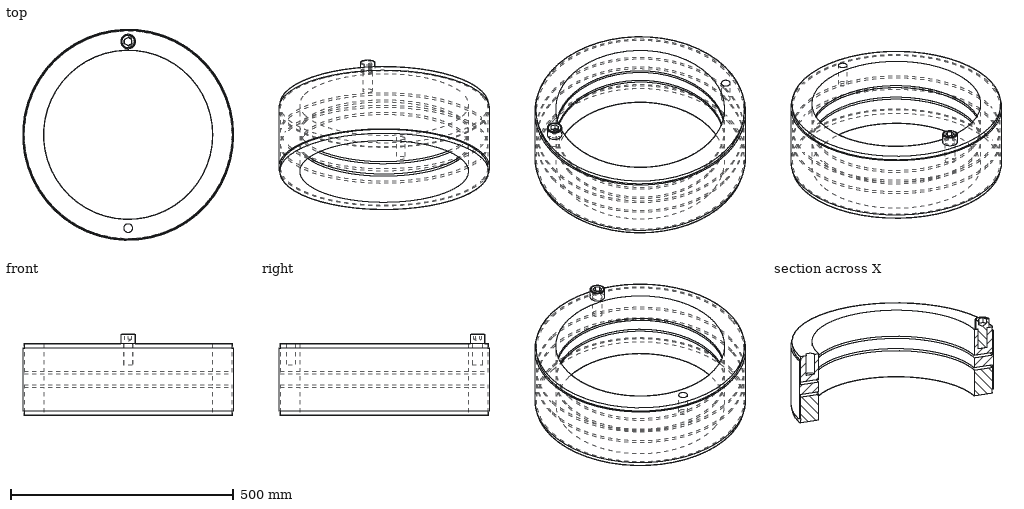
import cadquery as cq
import math

OUTER_DIAMETER = 475.0
RIM_DIAMETER = 470.2
RING_DIAMETER = 467.5
BORE_DIAMETER = 380.0
TOTAL_HEIGHT = 161.5
RIM_HEIGHT = 10.0
RING_HEIGHT = 63.0
GAP_HEIGHT = 5.0

BOLT_CIRCLE_RADIUS = 210.0
SHANK_DIAMETER = 22.0
SHANK_LENGTH = 47.5
HEAD_DIAMETER = 33.0
HEAD_HEIGHT = 21.5
HEAD_CHAMFER_HEIGHT = 1.0
HEAD_CHAMFER_WIDTH = 2.5
SOCKET_WIDTH = 16.0
SOCKET_DEPTH = 11.0
SOCKET_CONE_DEPTH = 5.0
PLAIN_HOLE_DIAMETER = 19.5
PLAIN_HOLE_DEPTH = 47.5

RIB_HEIGHT = TOTAL_HEIGHT - 2 * (RING_HEIGHT + GAP_HEIGHT)
HEAD_TOP = TOTAL_HEIGHT + HEAD_HEIGHT


def tube(outside, inside, bottom, height):
    """Plain vertical tube centred on the Z axis."""
    return (
        cq.Workplane("XY", origin=(0, 0, bottom))
        .circle(outside / 2)
        .circle(inside / 2)
        .extrude(height)
    )


def cylinder_down(diameter, depth, y):
    """Cylinder going down from the top face of the upper ring."""
    return (
        cq.Workplane("XY", origin=(0, y, TOTAL_HEIGHT))
        .circle(diameter / 2)
        .extrude(-depth)
    )


def make_sleeve():
    """Thin sleeve around the end rings, with a rib between them."""
    shell_height = TOTAL_HEIGHT - 2 * RIM_HEIGHT
    shell = tube(OUTER_DIAMETER, RING_DIAMETER, RIM_HEIGHT, shell_height)
    rib_bottom = RING_HEIGHT + GAP_HEIGHT
    rib = tube(OUTER_DIAMETER, BORE_DIAMETER, rib_bottom, RIB_HEIGHT)
    return shell.union(rib)


def make_lower_ring():
    """End ring whose exposed rim flares from the sleeve out to the end face."""
    bore_radius = BORE_DIAMETER / 2
    ring_radius = RING_DIAMETER / 2
    return (
        cq.Workplane("XZ")
        .moveTo(bore_radius, 0)
        .lineTo(RIM_DIAMETER / 2, 0)
        .lineTo(ring_radius, RIM_HEIGHT)
        .lineTo(ring_radius, RING_HEIGHT)
        .lineTo(bore_radius, RING_HEIGHT)
        .close()
        .revolve(360, (0, 0), (0, 1))
    )


def make_upper_ring():
    """Mirrored end ring with the screw hole and the plain blind hole opposite it."""
    ring = make_lower_ring().mirror("XY", basePointVector=(0, 0, TOTAL_HEIGHT / 2))
    screw_hole = cylinder_down(SHANK_DIAMETER, SHANK_LENGTH, BOLT_CIRCLE_RADIUS)
    plain_hole = cylinder_down(PLAIN_HOLE_DIAMETER, PLAIN_HOLE_DEPTH, -BOLT_CIRCLE_RADIUS)
    return ring.cut(screw_hole).cut(plain_hole)


def make_socket():
    """Hexagonal recess, corners toward Y, ending in a conical floor."""
    corner_radius = SOCKET_WIDTH / math.sqrt(3)
    full_depth = SOCKET_DEPTH + SOCKET_CONE_DEPTH
    hexagon = (
        cq.Workplane("XY", origin=(0, BOLT_CIRCLE_RADIUS, HEAD_TOP))
        .transformed(rotate=(0, 0, 90))
        .polygon(6, 2 * corner_radius)
        .extrude(-full_depth)
    )
    pointed_drill = (
        cq.Workplane("XZ", origin=(0, BOLT_CIRCLE_RADIUS, HEAD_TOP))
        .lineTo(corner_radius, 0)
        .lineTo(corner_radius, -SOCKET_DEPTH)
        .lineTo(0, -full_depth)
        .close()
        .revolve(360, (0, 0), (0, 1))
    )
    return hexagon.intersect(pointed_drill)


def make_screw():
    """Socket head screw whose head rests on the upper ring."""
    head = (
        cq.Workplane("XY", origin=(0, BOLT_CIRCLE_RADIUS, TOTAL_HEIGHT))
        .circle(HEAD_DIAMETER / 2)
        .extrude(HEAD_HEIGHT)
    )
    head_radius = HEAD_DIAMETER / 2
    corner = (
        cq.Workplane("XZ", origin=(0, BOLT_CIRCLE_RADIUS, HEAD_TOP))
        .moveTo(head_radius - HEAD_CHAMFER_WIDTH, 0)
        .lineTo(head_radius, 0)
        .lineTo(head_radius, -HEAD_CHAMFER_HEIGHT)
        .close()
        .revolve(360, (0, 0), (0, 1))
    )
    shank = cylinder_down(SHANK_DIAMETER, SHANK_LENGTH, BOLT_CIRCLE_RADIUS)
    return head.cut(corner).union(shank).cut(make_socket())


sleeve = make_sleeve()
lower_ring = make_lower_ring()
upper_ring = make_upper_ring()
screw = make_screw()

result = cq.Compound.makeCompound(
    [
        *sleeve.solids().vals(),
        *lower_ring.solids().vals(),
        *upper_ring.solids().vals(),
        *screw.solids().vals(),
    ]
)